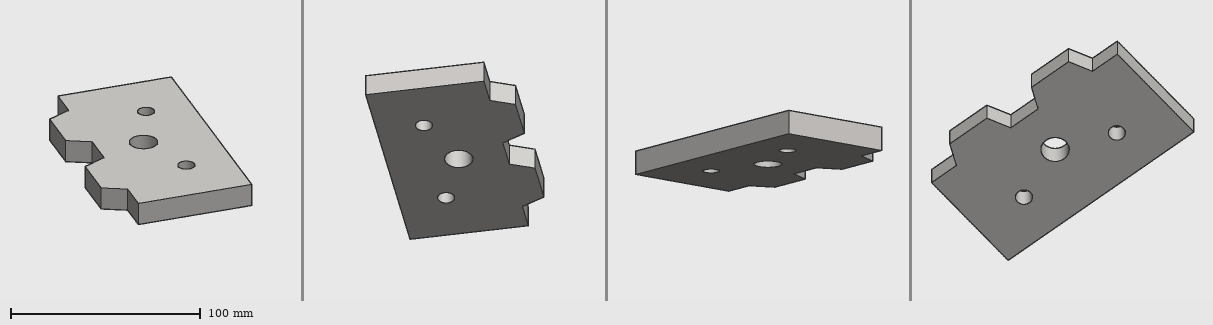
import cadquery as cq
import math

plate_length = 127.0
plate_width = 63.5
thickness = 12.7

tooth_height = 12.7
tooth_tip_width = 25.4
tooth_flank_angle = 25.0
tooth_spacing = 55.9

center_hole_diameter = 15.0
center_hole_y = 25.4
side_hole_diameter = 9.0
side_hole_spacing = plate_length / 2
side_hole_y = 38.1


def tooth(center_x):
    """Trapezoidal tooth that narrows away from the plate edge."""
    half_tip = tooth_tip_width / 2
    half_root = half_tip + tooth_height * math.tan(math.radians(tooth_flank_angle))
    return (
        cq.Workplane("XY")
        .polyline([
            (center_x - half_root, 0),
            (center_x - half_tip, -tooth_height),
            (center_x + half_tip, -tooth_height),
            (center_x + half_root, 0),
        ])
        .close()
        .extrude(thickness)
    )


def through_hole(x, y, diameter):
    """Cylinder that cuts a hole through the full thickness."""
    return cq.Workplane("XY").center(x, y).circle(diameter / 2).extrude(thickness)


result = cq.Workplane("XY").box(plate_length, plate_width, thickness, centered=(True, False, False))

for side in (-1, 1):
    result = result.union(tooth(side * tooth_spacing / 2))
    result = result.cut(through_hole(side * side_hole_spacing / 2, side_hole_y, side_hole_diameter))

result = result.cut(through_hole(0, center_hole_y, center_hole_diameter))